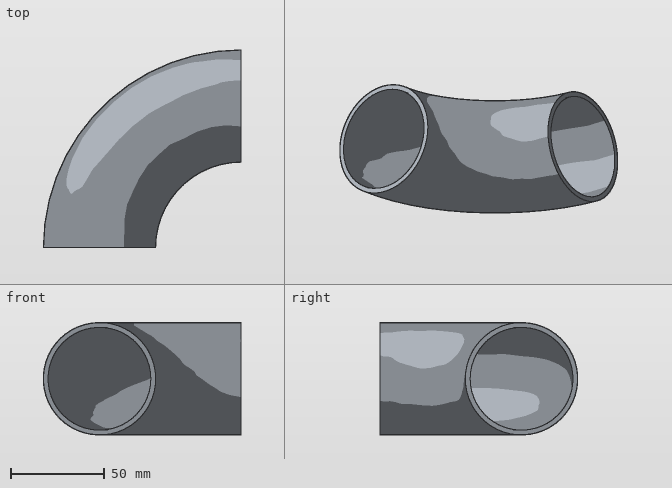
import cadquery as cq

OUTER_DIAMETER = 60.3
WALL_THICKNESS = 2.6
BEND_RADIUS = 76.0
BEND_ANGLE = 90.0

OUTER_RADIUS = OUTER_DIAMETER / 2
INNER_RADIUS = OUTER_RADIUS - WALL_THICKNESS


def make_elbow():
    """Turn the pipe ring from the -Y facing end round to the +X facing end."""
    ring = (
        cq.Workplane("XZ")
        .center(-BEND_RADIUS, 0)
        .circle(OUTER_RADIUS)
        .circle(INNER_RADIUS)
    )
    axis_start = (BEND_RADIUS, 0)
    axis_end = (BEND_RADIUS, -1)
    return ring.revolve(BEND_ANGLE, axis_start, axis_end)


result = make_elbow()